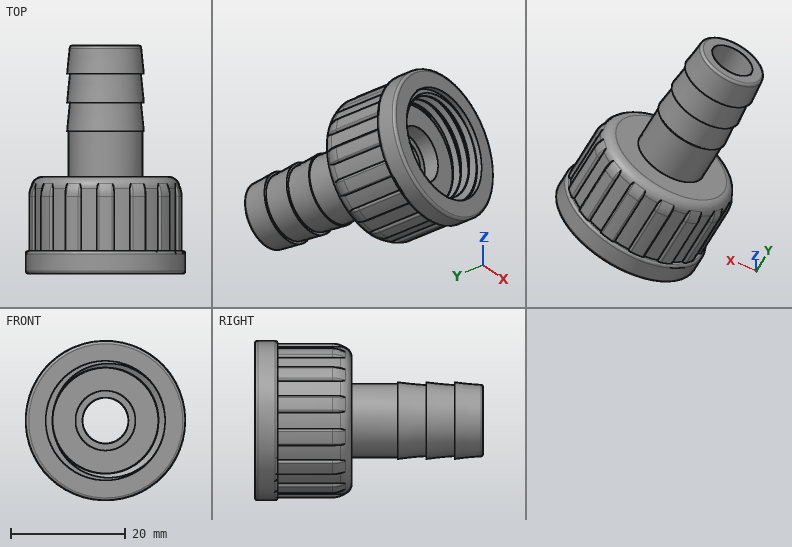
import cadquery as cq
import math


nut_length = 17.0
nut_radius = 13.0
nut_back_fillet = 2.0
collar_radius = 14.0
collar_length = 4.0
collar_fillet = 0.5

rib_count = 14
rib_width = 3.0
rib_radius = nut_radius + 0.5
rib_inner_radius = nut_radius - 1.0
rib_edge_fillet = 0.4
rib_end_radius = 4.0
rib_straight_end = 13.6

thread_entry_radius = 20.95 / 2
thread_root_clearance = 0.02
thread_major_radius = thread_entry_radius - thread_root_clearance
thread_minor_radius = 18.63 / 2
thread_pitch = 1.814
thread_flank_angle = 27.5
thread_root_width = 0.42
thread_turns = 3.8
thread_entry_depth = 1.0
thread_overrun = 0.05

washer_front = 5.6
washer_thickness = 3.0
washer_outer_radius = 18.5 / 2
washer_hole_radius = 10.5 / 2
washer_back = washer_front + washer_thickness

tail_end = 40.0
tail_bore_radius = 4.0
stem_radius = 6.5
barb_count = 3
barb_length = 5.0
barb_small_radius = 6.25
barb_large_radius = 6.75
tip_fillet = 0.5
tail_flange_radius = 9.0
tail_flange_thickness = 5.0
tail_flange_back = washer_back + tail_flange_thickness


def cylinder(radius, start, end):
    """Solid cylinder on the Z axis between two heights."""
    return cq.Workplane("XY").workplane(offset=start).circle(radius).extrude(end - start)


def lay_along_y(body):
    """Turn a body built along +Z so that it points along +Y."""
    return body.rotate((0, 0, 0), (1, 0, 0), -90)


def make_rib():
    """One grip rib on the +X side: rounded long edges and a curved back end."""
    arc_centre_radius = rib_radius - rib_end_radius
    arc_sweep = math.acos((rib_inner_radius - arc_centre_radius) / rib_end_radius)
    arc_middle = (
        arc_centre_radius + rib_end_radius * math.cos(arc_sweep / 2),
        rib_straight_end + rib_end_radius * math.sin(arc_sweep / 2),
    )
    arc_end = (rib_inner_radius, rib_straight_end + rib_end_radius * math.sin(arc_sweep))
    ring = (
        cq.Workplane("XZ")
        .moveTo(rib_inner_radius, collar_length / 2)
        .lineTo(rib_radius, collar_length / 2)
        .lineTo(rib_radius, rib_straight_end)
        .threePointArc(arc_middle, arc_end)
        .close()
        .revolve(360, (0, 0, 0), (0, 1, 0))
    )
    slab = cq.Workplane("XY").box(rib_radius, rib_width, nut_length, centered=(False, True, False))
    slab = slab.translate((rib_inner_radius / 2, 0, 0))
    rib = ring.intersect(slab)
    corner = (rib_radius, rib_width / 2, nut_length / 2)
    mirrored_corner = (rib_radius, -rib_width / 2, nut_length / 2)
    long_edges = rib.edges(cq.selectors.NearestToPointSelector(corner)).add(
        rib.edges(cq.selectors.NearestToPointSelector(mirrored_corner))
    )
    return long_edges.fillet(rib_edge_fillet)


def make_thread_groove():
    """Helical groove with a flat root, centred on the thread entry shoulder at the +X side."""
    base_radius = thread_minor_radius - thread_overrun
    half_root = thread_root_width / 2
    flank_run = (thread_major_radius - base_radius) * math.tan(math.radians(thread_flank_angle))
    half_mouth = half_root + flank_run
    start = thread_entry_depth - thread_pitch
    helix = cq.Wire.makeHelix(
        thread_pitch, thread_pitch * thread_turns, thread_minor_radius, center=cq.Vector(0, 0, start)
    )
    return (
        cq.Workplane("XZ")
        .moveTo(base_radius, start - half_mouth)
        .lineTo(thread_major_radius, start - half_root)
        .lineTo(thread_major_radius, start + half_root)
        .lineTo(base_radius, start + half_mouth)
        .close()
        .sweep(cq.Workplane(helix), isFrenet=True)
    )


def make_nut():
    """Ribbed union nut with a threaded front and a back wall around the stem."""
    barrel = cylinder(nut_radius, 0, nut_length).faces(">Z").edges().fillet(nut_back_fillet)
    collar = cylinder(collar_radius, 0, collar_length).edges().fillet(collar_fillet)
    nut = barrel.union(collar)
    rib = make_rib()
    for i in range(rib_count):
        nut = nut.union(rib.rotate((0, 0, 0), (0, 0, 1), 90 + i * 360 / rib_count))
    nut = nut.cut(cylinder(thread_minor_radius, 0, washer_back))
    nut = nut.cut(cylinder(thread_entry_radius, 0, thread_entry_depth))
    nut = nut.cut(cylinder(tail_flange_radius, washer_back, tail_flange_back))
    nut = nut.cut(cylinder(stem_radius, tail_flange_back, nut_length))
    return nut.cut(make_thread_groove())


def make_washer():
    """Flat ring that seals against the front of the hose tail flange."""
    ring = cylinder(washer_outer_radius, washer_front, washer_back)
    return ring.cut(cylinder(washer_hole_radius, washer_front, washer_back))


def make_hose_tail():
    """Flanged tube with a row of tapered barbs that narrow towards the tip."""
    barbs_start = tail_end - barb_count * barb_length
    profile = (
        cq.Workplane("XZ")
        .moveTo(tail_bore_radius, washer_back)
        .lineTo(tail_flange_radius, washer_back)
        .lineTo(tail_flange_radius, tail_flange_back)
        .lineTo(stem_radius, tail_flange_back)
        .lineTo(stem_radius, barbs_start)
    )
    for i in range(barb_count):
        barb_base = barbs_start + i * barb_length
        profile = profile.lineTo(barb_large_radius, barb_base)
        profile = profile.lineTo(barb_small_radius, barb_base + barb_length)
    tail = profile.lineTo(tail_bore_radius, tail_end).close().revolve(360, (0, 0, 0), (0, 1, 0))
    outer_tip_edge = cq.selectors.RadiusNthSelector(-1)
    return tail.faces(">Z").edges(outer_tip_edge).fillet(tip_fillet)


nut = lay_along_y(make_nut())
washer = lay_along_y(make_washer())
hose_tail = lay_along_y(make_hose_tail())

result = cq.Compound.makeCompound([nut.val(), washer.val(), hose_tail.val()])